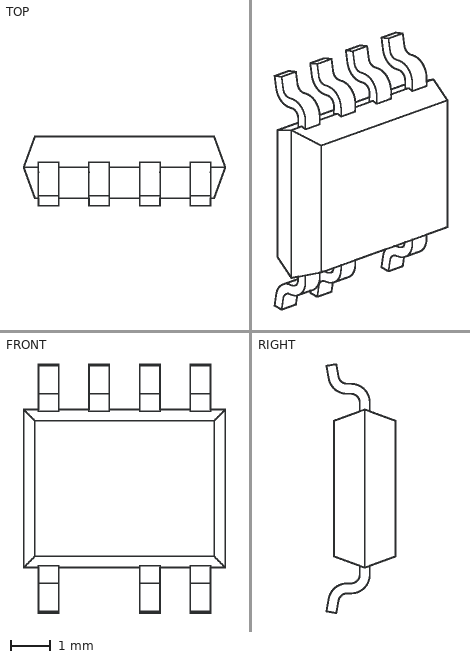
import cadquery as cq
import math

BODY_WIDTH = 5.06
BODY_HEIGHT = 3.97
BODY_THICKNESS = 1.55
DRAFT_ANGLE = 20.0

OVERALL_HEIGHT = 6.25
LEAD_PITCH = 1.27
LEAD_WIDTH = 0.51
LEAD_THICKNESS = 0.255
LEAD_EMBED = 0.375
LEAD_STUB = 0.175
BEND_RADIUS = 0.345
SHOULDER_LENGTH = 0.1
FOOT_TILT = 10.0

TOP_LEAD_SLOTS = (0, 1, 2, 3)
BOTTOM_LEAD_SLOTS = (0, 2, 3)
SLOT_COUNT = 4


def make_body():
    """Two tapered halves joined at the parting plane."""
    half = (
        cq.Workplane("XZ")
        .rect(BODY_WIDTH, BODY_HEIGHT)
        .extrude(BODY_THICKNESS / 2, taper=DRAFT_ANGLE)
    )
    return half.union(half.mirror("XZ"))


def make_top_lead():
    """One lead leaving the top of the body, centred on X = 0."""
    tilt = math.radians(FOOT_TILT)
    half_thickness = LEAD_THICKNESS / 2
    inner_radius = BEND_RADIUS - half_thickness
    outer_radius = BEND_RADIUS + half_thickness

    root_z = BODY_HEIGHT / 2 - LEAD_EMBED
    first_centre = (-BEND_RADIUS, BODY_HEIGHT / 2 + LEAD_STUB)
    second_centre = (first_centre[0] - SHOULDER_LENGTH, first_centre[1] + 2 * BEND_RADIUS)

    def on_first(radius, angle):
        return (
            first_centre[0] + radius * math.cos(angle),
            first_centre[1] + radius * math.sin(angle),
        )

    def on_second(radius, angle):
        """Point on the second bend; angle runs from straight down towards -Y."""
        return (
            second_centre[0] - radius * math.sin(angle),
            second_centre[1] - radius * math.cos(angle),
        )

    quarter = math.pi / 2
    sweep = quarter - tilt

    inner_bend_end = on_second(inner_radius, sweep)
    outer_bend_end = on_second(outer_radius, sweep)
    foot_rise = OVERALL_HEIGHT / 2 - inner_bend_end[1]
    foot_run = foot_rise * math.tan(tilt)
    inner_tip = (inner_bend_end[0] - foot_run, inner_bend_end[1] + foot_rise)
    outer_tip = (outer_bend_end[0] - foot_run, outer_bend_end[1] + foot_rise)

    return (
        cq.Workplane("YZ")
        .moveTo(half_thickness, root_z)
        .lineTo(*on_first(outer_radius, 0))
        .threePointArc(on_first(outer_radius, quarter / 2), on_first(outer_radius, quarter))
        .lineTo(*on_second(inner_radius, 0))
        .threePointArc(on_second(inner_radius, sweep / 2), inner_bend_end)
        .lineTo(*inner_tip)
        .lineTo(*outer_tip)
        .lineTo(*outer_bend_end)
        .threePointArc(on_second(outer_radius, sweep / 2), on_second(outer_radius, 0))
        .lineTo(*on_first(inner_radius, quarter))
        .threePointArc(on_first(inner_radius, quarter / 2), on_first(inner_radius, 0))
        .lineTo(-half_thickness, root_z)
        .close()
        .extrude(LEAD_WIDTH / 2, both=True)
    )


def slot_x(slot):
    """X of a lead slot, counted from the -X end."""
    return (slot - (SLOT_COUNT - 1) / 2) * LEAD_PITCH


result = make_body()
top_lead = make_top_lead()
bottom_lead = top_lead.mirror("XY")

for slot in TOP_LEAD_SLOTS:
    result = result.union(top_lead.translate((slot_x(slot), 0, 0)))
for slot in BOTTOM_LEAD_SLOTS:
    result = result.union(bottom_lead.translate((slot_x(slot), 0, 0)))